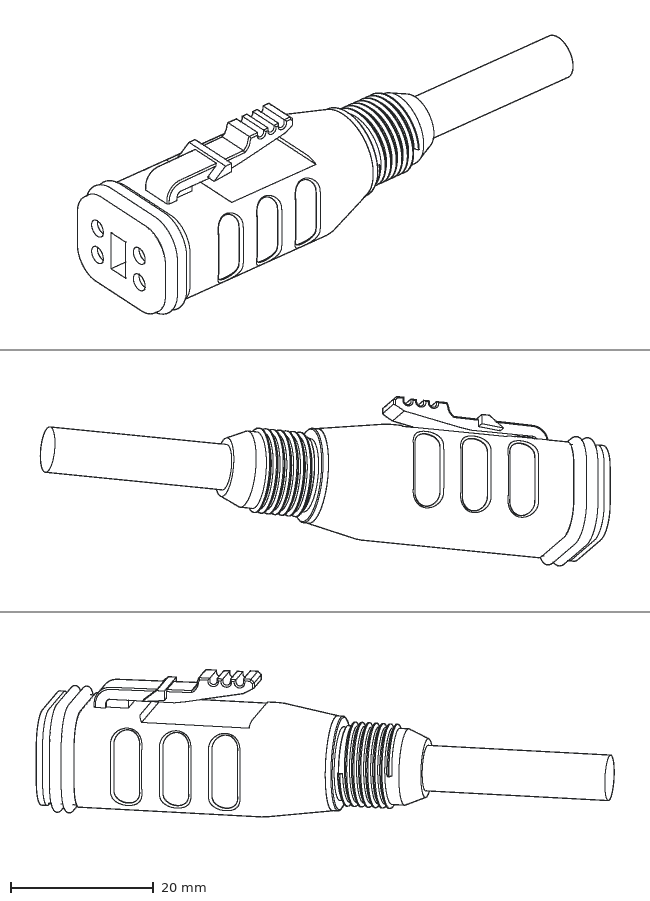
import cadquery as cq
import math

TOTAL_LENGTH = 80.25
CABLE_DIAMETER = 6.4

PLACE_TOLERANCE = 0.01

BODY_WIDTH = 18.3
BODY_HEIGHT = 13.8
BODY_CORNER = 4.2
BODY_END = 31.6
FACE_FILLET = 0.25

COLLAR_DIAMETER = 13.3
COLLAR_START = 40.9
COLLAR_END = 41.9
COLLAR_CHAMFER = 0.2
COLLAR_FLAT = 0.3
BEND_LENGTH = 0.9

NECK_DIAMETER = 10.75
NECK_END = 51.2
RELIEF_DIAMETER = 10.35
RELIEF_END = 42.5
BOOT_END = 54.1
BOOT_END_DIAMETER = 8.3
THREAD_DIAMETER = 11.9
THREAD_START = 42.4
THREAD_LENGTH = 7.1
THREAD_TURNS = 7
THREAD_PITCH = THREAD_LENGTH / THREAD_TURNS
THREAD_CREST = 0.2
THREAD_ROOT = 0.8 * THREAD_PITCH
THREAD_OVERLAP = 0.1

SEAL_GROOVE_START = 1.0
SEAL_GROOVE_END = 5.45
SEAL_GROOVE_DEPTH = 0.3
SEAL_FILLET = 0.2
SEAL_RIB_CENTRES = (2.4, 4.1)
SEAL_RIB_THICKNESS = 0.8
SEAL_RIB_WIDTH = 19.7
SEAL_RIB_HEIGHT = 15.65
SEAL_RIB_CORNER = 5.05

PIN_HOLE_DIAMETER = 2.6
PIN_SPACING_X = 9.15
PIN_SPACING_Z = 4.4
PIN_HOLE_DEPTH = 1.05
KEY_SLOT_WIDTH = 3.2
KEY_SLOT_HEIGHT = 6.0
KEY_SLOT_DEPTH = 8.0

GRIP_FIRST = 12.9
GRIP_SPAN = 14.05
GRIP_COUNT = 3
GRIP_PITCH = GRIP_SPAN / (GRIP_COUNT - 1)
GRIP_WIDTH = 3.7
GRIP_HEIGHT = 10.6
GRIP_DEPTH = 0.5
GRIP_CHAMFER = 0.4

FLAT_START = 14.1
FLAT_END = 30.1
FLAT_DEPTH = 0.6

LATCH_WIDTH = 5.1
LATCH_EDGE = 0.25
LATCH_FRONT = 6.9
LATCH_BEND = 2.4
LATCH_THICKNESS = 1.7
ARM_BOTTOM = 8.2
ARM_TOP = ARM_BOTTOM + LATCH_THICKNESS
ARM_RISE = 0.2
PAD_START = 20.9
PAD_RAMP_MIDDLE = (21.4, 10.6)
PAD_RAMP_END = (21.7, 11.4)
PAD_EDGE = 21.9
PAD_TOP = 11.95
LATCH_TIP = 29.85
TIP_TOP = 12.1
TIP_BEVEL = 0.5
UNDERSIDE_START = 18.45
UNDERSIDE_BEND = (20.1, 8.4)
UNDERSIDE_END = (28.3, 10.0)
TIP_BOTTOM = 10.9
TOOTH_FIRST = 24.0
TOOTH_SPAN = 3.8
TOOTH_COUNT = 3
TOOTH_PITCH = TOOTH_SPAN / (TOOTH_COUNT - 1)
TOOTH_RADIUS = 0.52
TOOTH_DEPTH = 0.9

WING_SPAN = 8.0
WING_TOP = 10.2
WING_FRONT = (14.1, 8.5)
WING_CREST = 16.2
WING_BACK = (17.3, 8.8)
WEB_END = 11.7
WEB_WIDTH = 4.0


def body_section(y, offset, length):
    """Rounded rectangle slab grown by offset, from y towards the cable."""
    return (
        cq.Workplane("XZ", origin=(0, y, 0))
        .rect(BODY_WIDTH + 2 * offset, BODY_HEIGHT + 2 * offset)
        .extrude(-length)
        .edges("|Y")
        .fillet(BODY_CORNER + offset)
    )


def round_section(y, diameter, length):
    return cq.Workplane("XZ", origin=(0, y, 0)).circle(diameter / 2).extrude(-length)


def rounded_rectangle(y, half_width, half_height, corner):
    """Closed wire of four straights and four corner arcs at the given y."""
    flat_x = half_width - corner
    flat_z = half_height - corner
    diagonal = corner * math.sqrt(0.5)
    sketch = cq.Workplane("XZ", origin=(0, y, 0)).moveTo(flat_x, half_height)
    mid = (flat_x + diagonal, flat_z + diagonal)
    sketch = sketch.threePointArc(mid, (half_width, flat_z)).lineTo(half_width, -flat_z)
    sketch = sketch.threePointArc((mid[0], -mid[1]), (flat_x, -half_height)).lineTo(-flat_x, -half_height)
    sketch = sketch.threePointArc((-mid[0], -mid[1]), (-half_width, -flat_z)).lineTo(-half_width, flat_z)
    sketch = sketch.threePointArc((-mid[0], mid[1]), (-flat_x, half_height)).close()
    return sketch.wire().val()


def shoulder_section(y):
    """Section of the straight taper, which starts halfway along the bend and ends at the collar."""
    taper_start = BODY_END + BEND_LENGTH / 2
    share = (y - taper_start) / (COLLAR_START - taper_start)
    collar_half = COLLAR_DIAMETER / 2
    collar_corner = (COLLAR_DIAMETER - COLLAR_FLAT) / 2
    half_width = BODY_WIDTH / 2 + share * (collar_half - BODY_WIDTH / 2)
    half_height = BODY_HEIGHT / 2 + share * (collar_half - BODY_HEIGHT / 2)
    corner = BODY_CORNER + share * (collar_corner - BODY_CORNER)
    return rounded_rectangle(y, half_width, half_height, corner)


def make_shoulder():
    """Housing to collar: a short bend, the long taper, then the round collar."""
    housing_section = rounded_rectangle(BODY_END, BODY_WIDTH / 2, BODY_HEIGHT / 2, BODY_CORNER)
    bend_section = shoulder_section(BODY_END + BEND_LENGTH)
    bend = cq.Workplane(cq.Solid.makeLoft([housing_section, bend_section], True))
    taper = cq.Workplane(cq.Solid.makeLoft([bend_section, shoulder_section(COLLAR_START)], True))
    collar = round_section(COLLAR_START, COLLAR_DIAMETER, COLLAR_END - COLLAR_START)
    return bend.union(taper).union(collar.faces(">Y").chamfer(COLLAR_CHAMFER))


def make_cable_side():
    """Neck, boot cone and cable as one revolved profile."""
    profile = (
        cq.Workplane("XY")
        .moveTo(0, COLLAR_START)
        .lineTo(RELIEF_DIAMETER / 2, COLLAR_START)
        .lineTo(RELIEF_DIAMETER / 2, RELIEF_END)
        .lineTo(NECK_DIAMETER / 2, RELIEF_END)
        .lineTo(NECK_DIAMETER / 2, NECK_END)
        .lineTo(BOOT_END_DIAMETER / 2, BOOT_END)
        .lineTo(CABLE_DIAMETER / 2, BOOT_END)
        .lineTo(CABLE_DIAMETER / 2, TOTAL_LENGTH)
        .lineTo(0, TOTAL_LENGTH)
        .close()
    )
    return profile.revolve(360, (0, 0, 0), (0, 1, 0))


def make_thread():
    root = NECK_DIAMETER / 2 - THREAD_OVERLAP
    crest = THREAD_DIAMETER / 2
    half_root = THREAD_ROOT / 2
    half_crest = THREAD_CREST / 2
    path = cq.Wire.makeHelix(THREAD_PITCH, THREAD_LENGTH, root)
    tooth = (
        cq.Workplane("XZ")
        .moveTo(root, -half_root)
        .lineTo(crest, -half_crest)
        .lineTo(crest, half_crest)
        .lineTo(root, half_root)
        .close()
    )
    thread = tooth.sweep(cq.Workplane(path), isFrenet=True)
    return thread.rotate((0, 0, 0), (1, 0, 0), -90).translate((0, THREAD_START + half_root, 0))


def depth_below_skin(point):
    """Distance of a point inward from the long faces of the plain housing."""
    beyond_x = max(abs(point.x) - (BODY_WIDTH / 2 - BODY_CORNER), 0)
    beyond_z = max(abs(point.z) - (BODY_HEIGHT / 2 - BODY_CORNER), 0)
    return BODY_CORNER - math.hypot(beyond_x, beyond_z)


def edges_at_depth(body, y_start, y_end, depth):
    """Edges between two Y places that lie at one depth all along, bar those running along Y."""
    band = cq.selectors.BoxSelector(
        (-BODY_WIDTH, y_start, -BODY_HEIGHT),
        (BODY_WIDTH, y_end, BODY_HEIGHT),
    )
    edges = body.edges(band).edges("not |Y")
    return edges.filter(
        lambda edge: all(abs(depth_below_skin(edge.positionAt(t)) - depth) < PLACE_TOLERANCE for t in (0.1, 0.6))
    )


def make_seal_rib(centre):
    """Round-topped rib following a rounded rectangle around the housing."""
    half = SEAL_RIB_THICKNESS / 2
    tip = SEAL_RIB_WIDTH / 2
    root = BODY_WIDTH / 2 - 2 * SEAL_GROOVE_DEPTH
    path = rounded_rectangle(centre, tip - half, SEAL_RIB_HEIGHT / 2 - half, SEAL_RIB_CORNER - half)
    profile = (
        cq.Workplane("XY")
        .moveTo(root, centre - half)
        .lineTo(tip - half, centre - half)
        .threePointArc((tip, centre), (tip - half, centre + half))
        .lineTo(root, centre + half)
        .close()
    )
    return profile.sweep(cq.Workplane(path))


def add_seal(body):
    length = SEAL_GROOVE_END - SEAL_GROOVE_START
    groove = body_section(SEAL_GROOVE_START, SEAL_GROOVE_DEPTH, length)
    body = body.cut(groove.cut(body_section(SEAL_GROOVE_START, -SEAL_GROOVE_DEPTH, length)))
    for centre in SEAL_RIB_CENTRES:
        body = body.union(make_seal_rib(centre))
    seal_reach = (SEAL_GROOVE_START - PLACE_TOLERANCE, SEAL_GROOVE_END + PLACE_TOLERANCE)
    corners = edges_at_depth(body, *seal_reach, SEAL_GROOVE_DEPTH)
    return corners.fillet(SEAL_FILLET)


def cut_openings(body):
    pins = cq.Workplane("XZ").rarray(PIN_SPACING_X, PIN_SPACING_Z, 2, 2).circle(PIN_HOLE_DIAMETER / 2)
    slot = cq.Workplane("XZ").rect(KEY_SLOT_WIDTH, KEY_SLOT_HEIGHT)
    return body.cut(pins.extrude(-PIN_HOLE_DEPTH)).cut(slot.extrude(-KEY_SLOT_DEPTH))


def cut_grips(body):
    """Upright round-ended recesses of even depth, with a sloped rim."""
    core = body_section(0, -GRIP_DEPTH, BODY_END)
    for i in range(GRIP_COUNT):
        centre = GRIP_FIRST + i * GRIP_PITCH
        slot = (
            cq.Workplane("YZ")
            .center(centre, 0)
            .slot2D(GRIP_HEIGHT, GRIP_WIDTH, 90)
            .extrude(BODY_WIDTH, both=True)
        )
        body = body.cut(slot.cut(core))
        half_width = GRIP_WIDTH / 2 + PLACE_TOLERANCE
        body = edges_at_depth(body, centre - half_width, centre + half_width, 0).chamfer(GRIP_CHAMFER)
    return body


def cut_flat(body):
    top = BODY_HEIGHT / 2
    floor = top - FLAT_DEPTH
    profile = (
        cq.Workplane("YZ")
        .moveTo(FLAT_START, top)
        .lineTo(FLAT_START + FLAT_DEPTH, floor)
        .lineTo(FLAT_END, floor)
        .lineTo(FLAT_END, top)
        .close()
    )
    return body.cut(profile.extrude(BODY_WIDTH, both=True))


def on_latch_outside(edge):
    """True for lever edges on the front and top, as opposed to the underside and back."""
    centre = edge.Center()
    slope = (TIP_BOTTOM - ARM_BOTTOM) / (LATCH_TIP - LATCH_FRONT)
    middle_z = ARM_BOTTOM + slope * (centre.y - LATCH_FRONT)
    return centre.y < LATCH_FRONT + PLACE_TOLERANCE or centre.z > middle_z


def make_tooth_valley(y):
    """Round-bottomed groove across the thumb pad."""
    round_z = PAD_TOP - TOOTH_DEPTH + TOOTH_RADIUS
    return (
        cq.Workplane("YZ")
        .moveTo(y - TOOTH_RADIUS, TIP_TOP)
        .lineTo(y - TOOTH_RADIUS, round_z)
        .threePointArc((y, round_z - TOOTH_RADIUS), (y + TOOTH_RADIUS, round_z))
        .lineTo(y + TOOTH_RADIUS, TIP_TOP)
        .close()
        .extrude(LATCH_WIDTH, both=True)
    )


def make_lever():
    base = BODY_HEIGHT / 2 - FLAT_DEPTH
    bend_y = LATCH_FRONT + LATCH_BEND
    bend_z = ARM_TOP - LATCH_BEND
    inner_bend = LATCH_BEND - LATCH_THICKNESS
    outer_reach = LATCH_BEND * math.sqrt(0.5)
    inner_reach = inner_bend * math.sqrt(0.5)
    last_tooth = TOOTH_FIRST + TOOTH_SPAN
    profile = (
        cq.Workplane("YZ")
        .moveTo(LATCH_FRONT, base)
        .lineTo(LATCH_FRONT, bend_z)
        .threePointArc((bend_y - outer_reach, bend_z + outer_reach), (bend_y, ARM_TOP))
        .lineTo(PAD_START, ARM_TOP + ARM_RISE)
        .threePointArc(PAD_RAMP_MIDDLE, PAD_RAMP_END)
        .lineTo(PAD_EDGE, PAD_TOP)
        .lineTo(last_tooth, PAD_TOP)
        .lineTo(last_tooth + TOOTH_RADIUS, TIP_TOP)
        .lineTo(LATCH_TIP - TIP_BEVEL, TIP_TOP)
        .lineTo(LATCH_TIP, TIP_TOP - TIP_BEVEL)
        .lineTo(LATCH_TIP, TIP_BOTTOM)
        .lineTo(*UNDERSIDE_END)
        .lineTo(*UNDERSIDE_BEND)
        .lineTo(UNDERSIDE_START, ARM_BOTTOM)
        .lineTo(bend_y, ARM_BOTTOM)
        .threePointArc((bend_y - inner_reach, bend_z + inner_reach), (bend_y - inner_bend, bend_z))
        .lineTo(bend_y - inner_bend, base)
        .close()
    )
    lever = profile.extrude(LATCH_WIDTH / 2, both=True)
    for i in range(TOOTH_COUNT):
        lever = lever.cut(make_tooth_valley(TOOTH_FIRST + i * TOOTH_PITCH))
    side_edges = lever.faces("<X or >X").edges()
    return side_edges.filter(on_latch_outside).chamfer(LATCH_EDGE)


def make_wings():
    corners = [(WING_BACK[0], WING_TOP), WING_BACK, WING_FRONT, (WING_CREST, WING_TOP)]
    return cq.Workplane("YZ").polyline(corners).close().extrude(WING_SPAN / 2, both=True)


def make_web():
    """Block filling the corner between the foot, the arm and the housing."""
    front = LATCH_FRONT + LATCH_THICKNESS / 2
    base = BODY_HEIGHT / 2 - FLAT_DEPTH
    arm_middle = ARM_BOTTOM + LATCH_THICKNESS / 2
    corners = [(front, base), (WEB_END, base), (WEB_END, arm_middle), (front, ARM_BOTTOM)]
    return cq.Workplane("YZ").polyline(corners).close().extrude(WEB_WIDTH / 2, both=True)


result = body_section(0, 0, BODY_END).faces("<Y").edges().fillet(FACE_FILLET)
result = cut_grips(result)
result = add_seal(result)
result = cut_openings(result)
result = cut_flat(result)
for added_part in (make_shoulder(), make_cable_side(), make_lever(), make_wings(), make_web(), make_thread()):
    result = result.union(added_part)